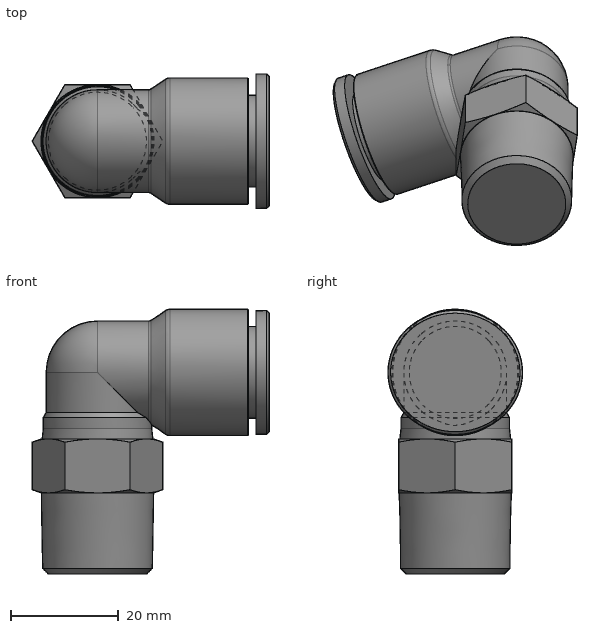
import cadquery as cq
import math


elbow_radius = 9.55

stud_bottom_z = -37.45
stud_top_radius = 10.45
stud_bottom_radius = 10.2
stud_chamfer = 1.1

hex_across_flats = 21.0
hex_bottom_z = -22.35
hex_height = 10.0
hex_top_z = hex_bottom_z + hex_height
hex_corner_radius = hex_across_flats / math.sqrt(3)
hex_chamfer_angle = math.radians(20)

collar_radius = 10.1
seat_radius = 10.3
seat_top_z = -10.45
collar_top_z = -8.4
collar_cone_top_z = -7.45

cone_start_x = 9.7
cone_end_x = 13.0
socket_end_x = 28.0
socket_radius = 11.75
elbow_blend_radius = 0.8
socket_blend_radius = 1.4
socket_edge_chamfer = 0.15

flange_end_x = 31.9
flange_thickness = 2.5
flange_width = 25.0
flange_height = 23.0
flange_chamfer = 0.5
button_neck_radius = 8.55
flange_start_x = flange_end_x - flange_thickness


def revolve_about_z(profile):
    """Solid of revolution from a closed outline of (radius, z) points."""
    return cq.Workplane("XZ").polyline(profile).close().revolve(360, (0, 0), (0, 1))


def make_elbow():
    """Two equal cylinders that meet in a mitre, rounded by a sphere at the corner."""
    corner = cq.Workplane("XY").sphere(elbow_radius)
    vertical = cq.Workplane("XY").circle(elbow_radius).extrude(hex_top_z)
    horizontal = cq.Workplane("YZ").circle(elbow_radius).extrude(cone_start_x)
    return vertical.union(horizontal).union(corner)


def make_stud():
    profile = [
        (0, stud_bottom_z),
        (stud_bottom_radius - stud_chamfer, stud_bottom_z),
        (stud_bottom_radius, stud_bottom_z + stud_chamfer),
        (stud_top_radius, hex_bottom_z),
        (0, hex_bottom_z),
    ]
    return revolve_about_z(profile)


def make_nut():
    """Hexagon with corners on the X axis, its corners bevelled by a cone at both ends."""
    prism = (
        cq.Workplane("XY", origin=(0, 0, hex_bottom_z))
        .polygon(6, 2 * hex_corner_radius)
        .extrude(hex_height)
    )
    flat_radius = hex_across_flats / 2
    bevel_drop = (hex_corner_radius - flat_radius) * math.tan(hex_chamfer_angle)
    profile = [
        (0, hex_bottom_z),
        (flat_radius, hex_bottom_z),
        (hex_corner_radius, hex_bottom_z + bevel_drop),
        (hex_corner_radius, hex_top_z - bevel_drop),
        (flat_radius, hex_top_z),
        (0, hex_top_z),
    ]
    envelope = revolve_about_z(profile)
    return prism.intersect(envelope)


def make_collar():
    profile = [
        (0, hex_top_z),
        (seat_radius, hex_top_z),
        (collar_radius, seat_top_z),
        (collar_radius, collar_top_z),
        (elbow_radius, collar_cone_top_z),
        (0, collar_cone_top_z),
    ]
    return revolve_about_z(profile)


def edge_circle_near(x):
    """Selector for circles around the X axis whose centre lies close to the given x."""
    reach = 0.1
    return cq.selectors.BoxSelector((x - reach, -reach, -reach), (x + reach, reach, reach))


def make_socket():
    """Socket with a cone leading in from the elbow, rounded where the cone starts and ends."""
    profile = [
        (0, 0),
        (0, elbow_radius),
        (cone_start_x, elbow_radius),
        (cone_end_x, socket_radius),
        (socket_end_x, socket_radius),
        (socket_end_x, 0),
    ]
    body = cq.Workplane("XY").polyline(profile).close().revolve(360, (0, 0), (1, 0))
    body = body.edges(edge_circle_near(cone_start_x)).fillet(elbow_blend_radius)
    body = body.edges(edge_circle_near(cone_end_x)).fillet(socket_blend_radius)
    return body.faces(">X").edges().chamfer(socket_edge_chamfer)


def make_release_button():
    neck = (
        cq.Workplane("YZ", origin=(socket_end_x, 0, 0))
        .circle(button_neck_radius)
        .extrude(flange_start_x - socket_end_x)
    )
    flange = (
        cq.Workplane("YZ", origin=(flange_start_x, 0, 0))
        .ellipse(flange_width / 2, flange_height / 2)
        .extrude(flange_thickness)
        .faces(">X")
        .edges()
        .chamfer(flange_chamfer)
    )
    return neck.union(flange)


result = (
    make_elbow()
    .union(make_collar())
    .union(make_nut())
    .union(make_stud())
    .union(make_socket())
    .union(make_release_button())
)